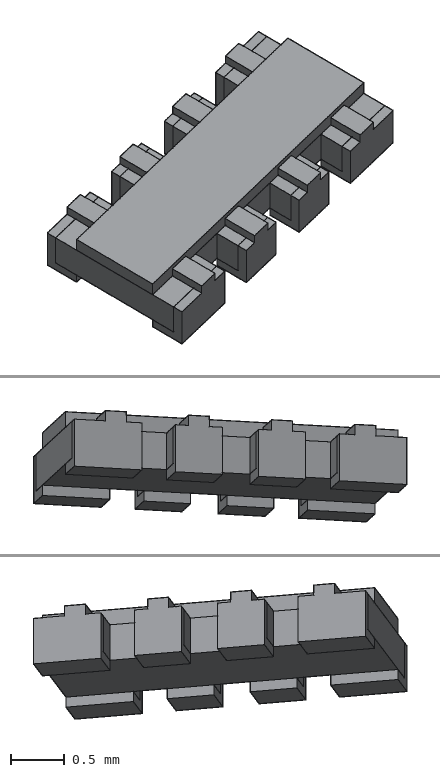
import cadquery as cq

LENGTH = 3.2
WIDTH = 1.6
METAL = 0.1
HEIGHT = 0.6
COAT_HEIGHT = 0.15
COAT_WIDTH = 0.902
TERMINAL_PITCH = 0.8
INNER_TERMINAL_WIDTH = 0.45
OUTER_TERMINAL_WIDTH = 0.65
TAB_WIDTH = 0.2

HALF_LENGTH = LENGTH / 2
HALF_WIDTH = WIDTH / 2
HALF_COAT = COAT_WIDTH / 2
SUBSTRATE_HALF_WIDTH = HALF_WIDTH - METAL
SUBSTRATE_TOP = HEIGHT - COAT_HEIGHT

INNER_CENTRE = TERMINAL_PITCH / 2
OUTER_CENTRE = INNER_CENTRE + TERMINAL_PITCH
INNER_START = INNER_CENTRE - INNER_TERMINAL_WIDTH / 2
INNER_END = INNER_CENTRE + INNER_TERMINAL_WIDTH / 2
OUTER_START = HALF_LENGTH - OUTER_TERMINAL_WIDTH
TERMINAL_ROWS = [
    (-OUTER_CENTRE, -HALF_LENGTH, -OUTER_START),
    (-INNER_CENTRE, -INNER_END, -INNER_START),
    (INNER_CENTRE, INNER_START, INNER_END),
    (OUTER_CENTRE, OUTER_START, HALF_LENGTH),
]


def block(x_range, y_range, z_range):
    """Box filling the given (low, high) range on each axis."""
    sizes = [high - low for low, high in (x_range, y_range, z_range)]
    corner = (x_range[0], y_range[0], z_range[0])
    return cq.Workplane("XY").box(*sizes, centered=False).translate(corner)


def make_substrate():
    """Ceramic core, notched on both long sides between neighbouring terminals."""
    height = (METAL, SUBSTRATE_TOP)
    substrate = block(
        (-SUBSTRATE_HALF_WIDTH, SUBSTRATE_HALF_WIDTH), (-HALF_LENGTH, HALF_LENGTH), height
    )
    for row, next_row in zip(TERMINAL_ROWS, TERMINAL_ROWS[1:]):
        gap = (row[2], next_row[1])
        substrate = substrate.cut(block((HALF_COAT, HALF_WIDTH), gap, height))
        substrate = substrate.cut(block((-HALF_WIDTH, -HALF_COAT), gap, height))
    return substrate


def make_coat():
    """Protective layer along the middle of the top, fitted between the terminal tabs."""
    return block((-HALF_COAT, HALF_COAT), (-HALF_LENGTH, HALF_LENGTH), (SUBSTRATE_TOP, HEIGHT))


def make_terminal(tab_centre, start, end):
    """Terminal on the +X side: foot below, wall outside and a narrow tab on top."""
    foot = block((HALF_COAT, HALF_WIDTH), (start, end), (0, METAL))
    wall = block((SUBSTRATE_HALF_WIDTH, HALF_WIDTH), (start, end), (0, SUBSTRATE_TOP))
    tab = block(
        (HALF_COAT, HALF_WIDTH),
        (tab_centre - TAB_WIDTH / 2, tab_centre + TAB_WIDTH / 2),
        (SUBSTRATE_TOP, SUBSTRATE_TOP + METAL),
    )
    return foot.union(wall).union(tab)


substrate = make_substrate()
coat = make_coat()
terminals = []
for row in TERMINAL_ROWS:
    terminal = make_terminal(*row)
    terminals.append(terminal.val())
    terminals.append(terminal.mirror("YZ").val())

result = cq.Compound.makeCompound([substrate.val(), coat.val(), *terminals])